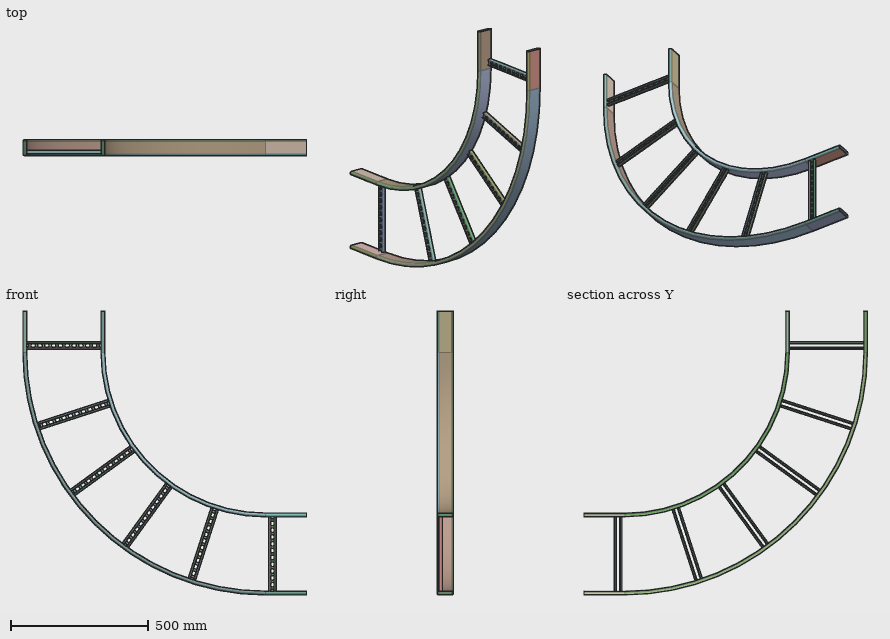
import cadquery as cq


overall = 1035.0
straight_length = 150.0
rail_edge_radius = 7.5
rail_depth = 60.0
rail_wall = 1.6
rail_spacing = 285.0

rung_front_width = 31.0
rung_back_width = 22.0
rung_depth = 15.0
rung_front = -24.0
rung_wall = 1.6
rung_inner_radius = 1.0
rung_mouth = 11.0
lip_return = 5.0
lip_thickness = 2.6
lip_radius = 2.0

hole_diameter = 16.0
hole_pitch = 25.0
holes_per_rung = 12

end_rung_offset = 25.0
bend_angle = 90.0
bend_rung_count = 4

rail_thickness = 2 * rail_edge_radius
outer_rail_radius = overall - straight_length - rail_thickness / 2
inner_rail_radius = outer_rail_radius - rail_spacing
rung_start = inner_rail_radius + rail_thickness / 2
rung_end = outer_rail_radius - rail_thickness / 2
rung_length = rung_end - rung_start
rung_middle = (rung_start + rung_end) / 2
rung_back = rung_front + rung_depth
rung_outer_radius = rung_inner_radius + rung_wall
lip_back = rung_front + lip_return
lip_block_width = rung_mouth + 2 * lip_thickness


def rail_form(radius, thickness, depth):
    """Solid flat oval bar: a tail along Z, a quarter bend and a tail along X."""
    tail_z = (
        cq.Workplane("XY").center(-radius, 0).slot2D(depth, thickness, 90).extrude(straight_length)
    )
    bend = (
        cq.Workplane("XY")
        .center(-radius, 0)
        .slot2D(depth, thickness, 90)
        .revolve(bend_angle, (radius, 0, 0), (radius, -1, 0))
    )
    tail_x = (
        cq.Workplane("YZ").center(0, -radius).slot2D(depth, thickness, 0).extrude(straight_length)
    )
    return tail_z.union(bend).union(tail_x)


def make_rail(radius):
    """Hollow side rail, open at both ends."""
    outside = rail_form(radius, rail_thickness, rail_depth)
    bore = rail_form(radius, rail_thickness - 2 * rail_wall, rail_depth - 2 * rail_wall)
    return outside.cut(bore)


def rung_bar(front, back, front_width, back_width):
    """Bar along -X over the full rung length, tapering from its front to its back face."""
    return (
        cq.Workplane("YZ", origin=(-rung_end, 0, 0))
        .moveTo(front, -front_width / 2)
        .lineTo(back, -back_width / 2)
        .lineTo(back, back_width / 2)
        .lineTo(front, front_width / 2)
        .close()
        .extrude(rung_length)
    )


def make_rung():
    """Lipped channel along -X, open towards -Y, with a row of holes through its back."""
    channel = rung_bar(rung_front, rung_back, rung_front_width, rung_back_width)
    cavity = rung_bar(
        rung_front + rung_wall,
        rung_back - rung_wall,
        rung_front_width - 2 * rung_wall,
        rung_back_width - 2 * rung_wall,
    )
    lip_block = rung_bar(rung_front, lip_back, lip_block_width, lip_block_width)
    mouth = rung_bar(rung_front, lip_back, rung_mouth, rung_mouth)
    holes = (
        cq.Workplane("XZ", origin=(-rung_middle, rung_back, 0))
        .rarray(hole_pitch, 10, holes_per_rung, 1)
        .circle(hole_diameter / 2)
        .extrude(rung_wall)
    )
    channel = channel.edges("|X").fillet(rung_outer_radius)
    cavity = cavity.edges("|X").fillet(rung_inner_radius)
    section = channel.cut(cavity.cut(lip_block)).cut(mouth)
    mouth_edges = cq.selectors.BoxSelector(
        (-rung_end, rung_front - lip_radius, -rung_mouth),
        (-rung_start, rung_front + lip_radius, rung_mouth),
    )
    section = section.edges("|X").edges(mouth_edges).fillet(lip_radius)
    return section.cut(holes)


def make_bend_rung(angle):
    """Rung turned into the bend, its ends trimmed to the curved rail faces."""
    ring = (
        cq.Workplane("XZ", origin=(0, rung_back, 0))
        .circle(rung_end)
        .circle(rung_start)
        .extrude(rung_depth)
    )
    return make_rung().rotate((0, 0, 0), (0, 1, 0), -angle).intersect(ring)


outer_rail = make_rail(outer_rail_radius)
inner_rail = make_rail(inner_rail_radius)

upper_rung = make_rung().translate((0, 0, end_rung_offset))
lower_rung = (
    make_rung().rotate((0, 0, 0), (0, 1, 0), -bend_angle).translate((end_rung_offset, 0, 0))
)
rungs = [upper_rung, lower_rung]
for index in range(1, bend_rung_count + 1):
    rungs.append(make_bend_rung(index * bend_angle / (bend_rung_count + 1)))

result = cq.Compound.makeCompound(
    [outer_rail.val(), inner_rail.val(), *[rung.val() for rung in rungs]]
)